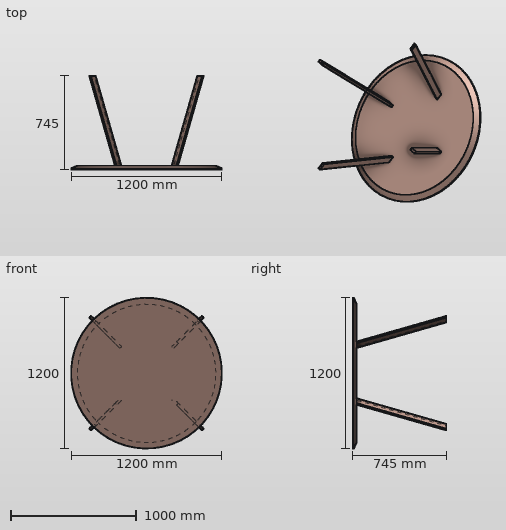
import cadquery as cq
import math

top_radius = 600.0
table_height = 745.0

top_thickness = 32.0
rim_thickness = 10.0
bevel_run = 50.0

leg_count = 4
first_leg_angle = 45.0
leg_width = 50.0
leg_thickness = 20.0
leg_splay = 22.0
leg_foot_radius = 607.0

leg_end_length = leg_width / math.cos(math.radians(leg_splay))
leg_rise = table_height - top_thickness
leg_root_radius = leg_foot_radius - leg_rise * math.tan(math.radians(leg_splay))


def make_table_top():
    """Bevelled disc, revolved about the Y axis."""
    return (
        cq.Workplane("XY")
        .lineTo(top_radius, 0)
        .lineTo(top_radius, rim_thickness)
        .lineTo(top_radius - bevel_run, top_thickness)
        .lineTo(0, top_thickness)
        .close()
        .revolve(360, (0, 0, 0), (0, 1, 0))
    )


def make_leg(angle):
    """Slanted flat bar, turned about the Y axis to the given angle."""
    half_end = leg_end_length / 2
    return (
        cq.Workplane("XY")
        .moveTo(leg_root_radius - half_end, top_thickness)
        .lineTo(leg_root_radius + half_end, top_thickness)
        .lineTo(leg_foot_radius + half_end, table_height)
        .lineTo(leg_foot_radius - half_end, table_height)
        .close()
        .extrude(leg_thickness / 2, both=True)
        .rotate((0, 0, 0), (0, 1, 0), angle)
    )


table_top = make_table_top()
legs = [make_leg(first_leg_angle + i * 360 / leg_count) for i in range(leg_count)]

result = cq.Compound.makeCompound([table_top.val(), *[leg.val() for leg in legs]])